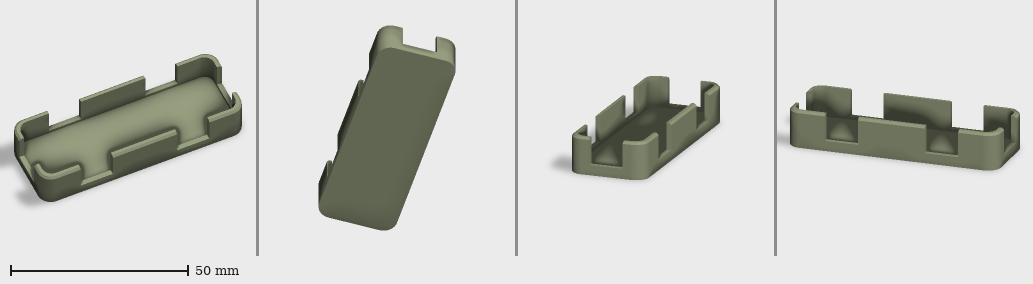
import cadquery as cq

length = 63.0
width = 23.0
height = 11.0
corner_radius = 4.0
rim_chamfer = 0.6

wall = 1.5
inner_corner_radius = 3.0
floor_thickness = 2.0

notch_width = 10.0
notch_bottom = 3.0
side_notch_offset = 15.0


def rounded_block(size_x, size_y, size_z, radius):
    """Block standing on Z = 0 with rounded vertical edges."""
    return (
        cq.Workplane("XY")
        .box(size_x, size_y, size_z, centered=(True, True, False))
        .edges("|Z")
        .fillet(radius)
    )


def notch(size_x, size_y, center_y=0.0):
    """Cutter through a pair of opposite walls, open at the rim."""
    return (
        cq.Workplane("XY", origin=(0, center_y, notch_bottom))
        .box(size_x, size_y, height, centered=(True, True, False))
    )


body = rounded_block(width, length, height, corner_radius).faces(">Z").chamfer(rim_chamfer)
cavity = rounded_block(width - 2 * wall, length - 2 * wall, height, inner_corner_radius)
tray = body.cut(cavity.translate((0, 0, floor_thickness)))

tray = tray.cut(notch(notch_width, 2 * length))
for center_y in (-side_notch_offset, side_notch_offset):
    tray = tray.cut(notch(2 * width, notch_width, center_y))

result = tray